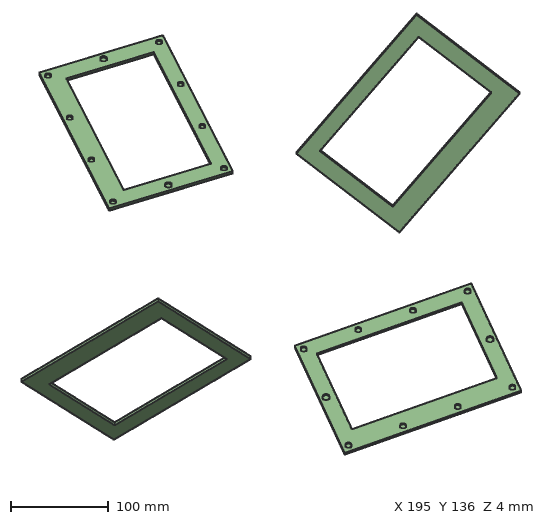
import cadquery as cq

length = 195.0
width = 136.0
thickness = 4.0

window_length = 160.0
window_width = 96.0
back_border = 17.0
window_center_y = width / 2 - back_border - window_width / 2

hole_margin = 7.0
hole_depth = 2.75
edge_hole_diameter = 6.35
side_hole_diameter = 7.3
holes_per_edge = 4
opposite_sides = 2
hole_span_x = length - 2 * hole_margin
hole_span_y = width - 2 * hole_margin


def make_plate():
    return cq.Workplane("XY").box(length, width, thickness, centered=(True, True, False))


def make_window():
    window = cq.Workplane("XY").box(window_length, window_width, thickness, centered=(True, True, False))
    return window.translate((0, window_center_y, 0))


def make_blind_holes(diameter, columns, rows, spacing_x, spacing_y):
    """Cylinders for a centred grid of blind holes, reaching down from the top face."""
    top_plane = cq.Workplane("XY").workplane(offset=thickness)
    centers = top_plane.rarray(spacing_x, spacing_y, columns, rows)
    return centers.circle(diameter / 2).extrude(-hole_depth)


edge_hole_spacing = hole_span_x / (holes_per_edge - 1)
edge_holes = make_blind_holes(
    edge_hole_diameter, holes_per_edge, opposite_sides, edge_hole_spacing, hole_span_y
)

side_holes = make_blind_holes(side_hole_diameter, opposite_sides, 1, hole_span_x, hole_span_y)

result = make_plate().cut(make_window()).cut(edge_holes).cut(side_holes)